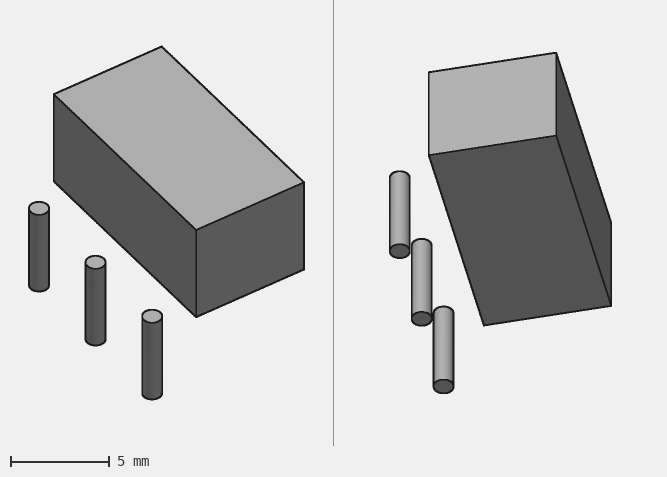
import cadquery as cq

housing_length = 12.8
housing_depth = 6.6
housing_height = 5.8

pin_count = 3
pin_diameter = 1.02
pin_length = 5.11
pin_pitch = 5.08
overall_depth = 8.91

housing_back_y = overall_depth - pin_diameter / 2
housing_center_y = housing_back_y - housing_depth / 2


def make_housing():
    """Plain rectangular block standing on the plane of the pin tops."""
    return (
        cq.Workplane("XY")
        .center(0, housing_center_y)
        .rect(housing_length, housing_depth)
        .extrude(housing_height)
    )


def make_pin(x):
    """Round pin hanging down from the plane of the housing's underside."""
    return cq.Workplane("XY").center(x, 0).circle(pin_diameter / 2).extrude(-pin_length)


housing = make_housing()

pins = []
for index in range(pin_count):
    pin_x = (index - (pin_count - 1) / 2) * pin_pitch
    pins.append(make_pin(pin_x).val())

result = cq.Compound.makeCompound([housing.val(), *pins])